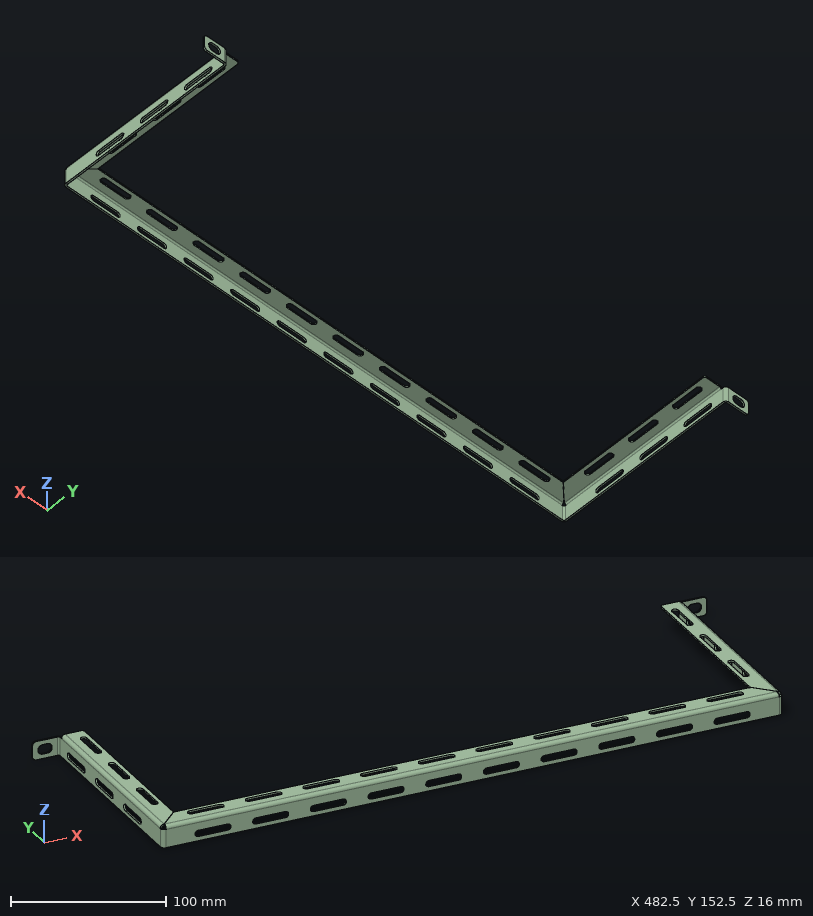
import cadquery as cq
import math

length_x = 482.5
depth_y = 152.5
height_z = 16.0
frame_width = 444.5

sheet = 1.5
inner_bend = 1.2
outer_bend = inner_bend + sheet

flange_width = 16.0
flange_setback = 4.5
flange_corner = 2.0
mitre_gap = 0.1
corner_relief = 3.0

slot_length = 25.5
slot_width = 4.5
slot_inset = 10.5
slots_on_bar = 10
slots_on_leg = 3
slot_row_length = 371.5
slot_pitch = slot_row_length / (slots_on_bar - 1)
first_leg_slot = 26.0

tab_corner = 2.5
tab_hole_length = 10.0
tab_hole_width = 6.8

half_length = length_x / 2
half_width = frame_width / 2
wall_height = height_z - outer_bend
flange_end = depth_y - flange_setback
arc_mid = math.sqrt(0.5)


def right_half_wall():
    """Upright sheet from the middle of the bar, round the corner and out to the tab."""
    tab_bend_x = half_width + inner_bend
    tab_bend_y = depth_y - outer_bend
    return (
        cq.Workplane("XY")
        .moveTo(0, 0)
        .lineTo(half_width - outer_bend, 0)
        .tangentArcPoint((half_width, outer_bend), relative=False)
        .lineTo(half_width, tab_bend_y)
        .tangentArcPoint((tab_bend_x, depth_y - sheet), relative=False)
        .lineTo(half_length, depth_y - sheet)
        .lineTo(half_length, depth_y)
        .lineTo(tab_bend_x, depth_y)
        .tangentArcPoint((half_width - sheet, tab_bend_y), relative=False)
        .lineTo(half_width - sheet, outer_bend)
        .tangentArcPoint((half_width - outer_bend, sheet), relative=False)
        .lineTo(0, sheet)
        .close()
        .extrude(wall_height)
        .edges("|Y and >X")
        .fillet(tab_corner)
    )


def flange_profile(plane):
    """Bend and flange section; local x runs inward from the outer face, local y is Z."""
    inner_mid = outer_bend - inner_bend * arc_mid
    outer_mid = outer_bend * (1 - arc_mid)
    return (
        cq.Workplane(plane)
        .moveTo(0, wall_height)
        .threePointArc((outer_mid, wall_height + outer_bend * arc_mid), (outer_bend, height_z))
        .lineTo(flange_width, height_z)
        .lineTo(flange_width, height_z - sheet)
        .lineTo(outer_bend, height_z - sheet)
        .threePointArc((inner_mid, wall_height + inner_bend * arc_mid), (sheet, wall_height))
        .close()
    )


def mitre_region(points):
    return cq.Workplane("XY").polyline(points).close().extrude(height_z)


def right_half_flange():
    """Bar and leg flanges, mitred at 45 degrees with an open seam and a corner notch."""
    seam_offset = mitre_gap * arc_mid
    bar_plane = cq.Plane(origin=(0, 0, 0), xDir=(0, 1, 0), normal=(1, 0, 0))
    bar = flange_profile(bar_plane).extrude(half_width)
    bar_side = mitre_region([
        (0, 0),
        (half_width - seam_offset, 0),
        (half_width - seam_offset - flange_width, flange_width),
        (0, flange_width),
    ])
    leg_plane = cq.Plane(origin=(half_width, 0, 0), xDir=(-1, 0, 0), normal=(0, 1, 0))
    leg = flange_profile(leg_plane).extrude(flange_end)
    leg = leg.edges("|Z and >Y and <X").fillet(flange_corner)
    leg_side = mitre_region([
        (half_width, seam_offset),
        (half_width, flange_end),
        (half_width - flange_width, flange_end),
        (half_width - flange_width, flange_width + seam_offset),
    ])
    relief = (
        cq.Workplane("XY", origin=(half_width, 0, wall_height))
        .rect(2 * corner_relief, 2 * corner_relief)
        .extrude(outer_bend)
    )
    return bar.intersect(bar_side).union(leg.intersect(leg_side)).cut(relief)


def bar_slots():
    """Slots through the front wall and the flange of the bar."""
    wall = (
        cq.Workplane("XZ", origin=(0, 0, height_z - slot_inset))
        .rarray(slot_pitch, 5, slots_on_bar, 1)
        .slot2D(slot_length, slot_width)
        .extrude(-outer_bend)
    )
    flange = (
        cq.Workplane("XY", origin=(0, slot_inset, wall_height))
        .rarray(slot_pitch, 5, slots_on_bar, 1)
        .slot2D(slot_length, slot_width)
        .extrude(outer_bend)
    )
    return wall.union(flange)


def leg_slots():
    """Slots through the walls and flanges of both legs."""
    row_middle = depth_y - first_leg_slot - slot_pitch * (slots_on_leg - 1) / 2
    walls = (
        cq.Workplane("YZ", origin=(0, row_middle, height_z - slot_inset))
        .rarray(slot_pitch, 5, slots_on_leg, 1)
        .slot2D(slot_length, slot_width)
        .extrude(half_width, both=True)
    )
    flanges = (
        cq.Workplane("XY", origin=(0, row_middle, wall_height))
        .rarray(2 * (half_width - slot_inset), slot_pitch, 2, slots_on_leg)
        .slot2D(slot_length, slot_width, 90)
        .extrude(outer_bend)
    )
    return walls.union(flanges)


def tab_holes():
    """One elongated mounting hole in the middle of each tab's flat."""
    hole_x = (half_length + half_width + inner_bend) / 2
    return (
        cq.Workplane("XZ", origin=(0, depth_y, wall_height / 2))
        .rarray(2 * hole_x, 5, 2, 1)
        .slot2D(tab_hole_length, tab_hole_width)
        .extrude(sheet)
    )


right_half = right_half_wall().union(right_half_flange())
frame = right_half.union(right_half.mirror("YZ"))
result = frame.cut(bar_slots()).cut(leg_slots()).cut(tab_holes())